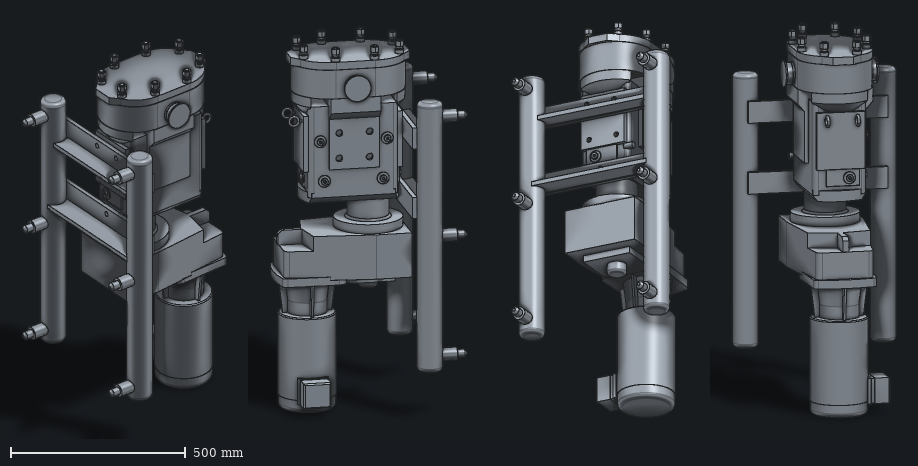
import cadquery as cq
import math

TOP_Z = 1088.0
COVER_TOP_Z = 1048.0
HEAD_TOP_Z = 1025.0
HEAD_BOTTOM_Z = 939.0
CASE_TOP_Z = 910.0
CASE_BOTTOM_Z = 621.0
GEAR_FLANGE_TOP_Z = 556.0
GEAR_TOP_Z = 529.0
GEAR_BOTTOM_Z = 397.0
ADAPTER_BOTTOM_Z = 382.0
MOTOR_TOP_Z = 283.0

PUMP_Y = 59.0
MOTOR_Y = 178.0

RAIL_DIAMETER = 75.0
RAIL_X = 202.0
RAIL_Y = -137.0
RAIL_BOTTOM_Z = 143.0
RAIL_LENGTH = 801.0
RAIL_END_FILLET = 13.0
FOOT_SPACING = 355.0
FOOT_SLEEVE_DIAMETER = 38.0
FOOT_SLEEVE_END_Y = -215.0
FOOT_PIN_DIAMETER = 24.0
FOOT_TIP_Y = -246.0
FOOT_TIP_CHAMFER = 8.0

BAR_HEIGHT = 63.0
BAR_HALF_LENGTH = 205.0
WEB_THICKNESS = 14.0
FLANGE_THICKNESS = 13.0
FLANGE_GAP = 7.0
UPPER_BAR_Z = 803.0
LOWER_BAR_Z = 596.0
UPPER_FLANGE_FRONT_Y = -159.0
LOWER_FLANGE_FRONT_Y = -171.0

HEAD_RADIUS = 108.2
HEAD_ARC_OFFSET = 58.0
COVER_RADIUS = 110.0
COVER_TIP_Y = 174.6
COVER_TIP_HALF_X = 30.0
COVER_TIP_ROOT = (65.0, 145.0)
STUD_SPOTS = [(48.0, 140.0), (95.2, 57.1)]
STUD_WASHER_DIAMETER = 25.0
STUD_NECK_DIAMETER = 14.0
STUD_COLLAR_DIAMETER = 20.0
STUD_HEX_DIAMETER = 25.0
STUD_WASHER_TOP_Z = 1059.0
STUD_COLLAR_Z = 1062.0
STUD_HEX_Z = 1068.0
STUD_HEX_TOP_Z = 1085.0

PORT_Z = 973.0
PORT_HALF_LENGTH = 136.0
PORT_TUBE_DIAMETER = 63.0
PORT_COLLAR_DIAMETER = 66.0
PORT_COLLAR_X = 114.0
PORT_FLANGE_DIAMETER = 77.0
PORT_FLANGE_THICKNESS = 4.0

BOSS_INNER = 126.0
BOSS_RADIUS = 107.0
BOSS_CONE_RADIUS = 79.0
BOSS_CONE_Z = 878.0

CASE_HALF_X = 78.0
CASE_HALF_Y = 132.0
CASE_EDGE_FILLET = 15.0
CASE_FLOOR_Z = 639.0
CASE_BOTTOM_HALF_X = 65.0
BOTTOM_PLATE_TOP_Z = 653.0
PAD_FACE = 145.2
END_PAD_HALF_X = 70.2
END_PAD_BOTTOM_Z = 715.0
END_PAD_TOP_Z = 881.0
SMALL_PAD_FACE = 138.0
SMALL_PAD_X = (-57.0, 41.0)
SMALL_PAD_BOTTOM_Z = 665.0
BRACKET_HALF_X = 110.0
BRACKET_WIDTH = 146.0
BRACKET_KNEE_Z = 895.0
SIDE_PAD_X = 90.0
SIDE_PAD_TOP_Z = 874.0
SIDE_PAD_BOTTOM_Z = 723.0
SIDE_HOLE_OFFSET = 45.0
SIDE_HOLE_LEVELS = (831.0, 756.0)
PAD_HOLE_X = 44.1
PAD_HOLE_LEVELS = (846.0, 742.0)
PAD_HOLE_DIAMETER = 14.0
SIDE_HOLE_DIAMETER = 20.0
PAD_HOLE_DEPTH = 11.0
UPPER_PLUG_SPOT = (98.0, 806.0)
LOWER_PLUG_SPOT = (86.0, 688.0)
END_PLUG_SPOT = (-26.0, 689.0)
KNOB_DIAMETER = 20.0
KNOB_X = (62.0, 90.0)
KNOB_Y_OFFSET = 126.0
KNOB_Z = 707.0
EYE_X = 45.0
EYE_RING_RADIUS = 13.6
EYE_WIRE_RADIUS = 3.8
EYE_Y = 226.0
EYE_Z = 861.0

NECK_DIAMETER = 121.0
GEAR_FLANGE_DIAMETER = 200.0
NECK_FILLET = 7.0
GEAR_HALF_X = 113.0
GEAR_FRONT_Y = -104.0
GEAR_SHOULDER_Y = 180.0
GEAR_SHOULDER_TIP_Y = 197.0
GEAR_BACK_Y = 262.0
GEAR_BACK_HALF_X = 83.0
GEAR_BACK_FILLET = 16.0
GEAR_LEDGE_Z = 485.0
RIDGE_WIDTH = 17.0
RIDGE_BACK_Y = 265.0
RIDGE_CHAMFER = 11.0
ADAPTER_HALF_X = 100.0
ADAPTER_FRONT_Y = 79.0
ADAPTER_BACK_Y = 279.0
ADAPTER_SIDE_Y = 265.0
ADAPTER_BACK_HALF_X = 92.0
ADAPTER_TOP_Z = 407.0
ADAPTER_FILLET = 15.0
ADAPTER_FRONT_FILLET = 24.0
COVER_PLATE_HALF_X = 75.0
COVER_PLATE_FRONT_Y = -63.0
COVER_PLATE_BACK_Y = 76.0
COVER_PLATE_FILLET = 25.0
COVER_PLATE_BOTTOM_Z = 378.0
CAP_DIAMETER = 55.0
CAP_BOTTOM_Z = 346.0
CAP_FILLET = 9.0

LANTERN_TOP_RADIUS = 65.8
LANTERN_RADIUS = 58.0
LANTERN_KNEE_Z = 321.0
RIB_TOP_RADIUS = 84.0
RIB_BOTTOM_RADIUS = 72.0
RIB_THICKNESS = 7.0
MOTOR_DIAMETER = 168.0
MOTOR_TOP_CHAMFER = 3.0
MOTOR_BOTTOM_FILLET = 13.0
FAN_COVER_Z = 38.0
FAN_COVER_STEP = 1.0
BOX_END_X = -143.0
BOX_LID_X = -96.0
BOX_BASE_X = -85.0
BOX_BASE_END_X = -75.0
BOX_JOINT_STEP = 1.0
BOX_WIDTH = 80.0
BOX_BASE_WIDTH = 89.0
BOX_BOTTOM_Z = 30.0
BOX_TOP_Z = 105.0
BOX_CHAMFER = 4.0


def block(x_range, y_range, z_range):
    """Box between the given limits."""
    size = [high - low for low, high in (x_range, y_range, z_range)]
    return cq.Workplane("XY").box(*size, centered=False).translate((x_range[0], y_range[0], z_range[0]))


def post(diameter, x, y, z_low, z_high):
    """Upright cylinder."""
    return cq.Workplane("XY", origin=(x, y, z_low)).circle(diameter / 2).extrude(z_high - z_low)


def rod(diameter, start, direction, length):
    """Cylinder from a point along a direction."""
    return cq.Workplane(cq.Solid.makeCylinder(diameter / 2, length, cq.Vector(*start), cq.Vector(*direction)))


def stadium(radius, arc_offset, z_low, z_high):
    """Plate with two round ends around the middle of the pump."""
    return (
        cq.Workplane("XY", origin=(0, PUMP_Y, z_low))
        .slot2D(2 * (radius + arc_offset), 2 * radius, 90)
        .extrude(z_high - z_low)
    )


WEB_BACK_Y = PUMP_Y - PAD_FACE
WEB_FRONT_Y = WEB_BACK_Y - WEB_THICKNESS
RAIL_MIDDLE_Z = RAIL_BOTTOM_Z + RAIL_LENGTH / 2


def rail(x):
    tube = post(RAIL_DIAMETER, x, RAIL_Y, RAIL_BOTTOM_Z, RAIL_BOTTOM_Z + RAIL_LENGTH)
    return tube.edges("%CIRCLE").fillet(RAIL_END_FILLET)


def foot(x, z):
    sleeve = rod(FOOT_SLEEVE_DIAMETER, (x, RAIL_Y, z), (0, -1, 0), RAIL_Y - FOOT_SLEEVE_END_Y)
    pin = rod(FOOT_PIN_DIAMETER, (x, RAIL_Y, z), (0, -1, 0), RAIL_Y - FOOT_TIP_Y)
    return sleeve.union(pin.faces("<Y").chamfer(FOOT_TIP_CHAMFER))


def crossbar(z, flange_front_y):
    """Upright web behind the rails and a flange that runs between and around them."""
    bar_x = (-BAR_HALF_LENGTH, BAR_HALF_LENGTH)
    flange_x = (-RAIL_X, RAIL_X)
    web = block(bar_x, (WEB_FRONT_Y, WEB_BACK_Y), (z, z + BAR_HEIGHT))
    flange = block(flange_x, (flange_front_y, WEB_FRONT_Y - FLANGE_GAP), (z, z + FLANGE_THICKNESS))
    reach = math.sqrt((RAIL_DIAMETER / 2) ** 2 - (RAIL_Y - flange_front_y) ** 2)
    trim = block(
        (reach - RAIL_X, RAIL_X - reach),
        (flange_front_y, WEB_BACK_Y),
        (z, z + FLANGE_THICKNESS),
    )
    return web.union(flange.intersect(trim))


def build_frame():
    body = rail(-RAIL_X).union(rail(RAIL_X))
    body = body.union(crossbar(UPPER_BAR_Z, UPPER_FLANGE_FRONT_Y))
    body = body.union(crossbar(LOWER_BAR_Z, LOWER_FLANGE_FRONT_Y))
    for x in (-RAIL_X, RAIL_X):
        for step in (-1, 0, 1):
            body = body.union(foot(x, RAIL_MIDDLE_Z + step * FOOT_SPACING))
    bolt_holes = [(-PAD_HOLE_X, PAD_HOLE_LEVELS[0]), (PAD_HOLE_X, PAD_HOLE_LEVELS[0])]
    bolt_holes.append((0, LOWER_BAR_Z + 44))
    for x, z in bolt_holes:
        body = body.cut(rod(PAD_HOLE_DIAMETER, (x, WEB_FRONT_Y, z), (0, 1, 0), WEB_THICKNESS))
    return body


def stud(x, y):
    """Washer, neck, collar and hexagon nut of one cover stud."""
    body = post(STUD_WASHER_DIAMETER, x, y, COVER_TOP_Z, STUD_WASHER_TOP_Z)
    body = body.union(post(STUD_NECK_DIAMETER, x, y, COVER_TOP_Z, TOP_Z))
    body = body.union(post(STUD_COLLAR_DIAMETER, x, y, STUD_COLLAR_Z, STUD_HEX_Z))
    nut = (
        cq.Workplane("XY", origin=(x, y, STUD_HEX_Z))
        .polygon(6, STUD_HEX_DIAMETER)
        .extrude(STUD_HEX_TOP_Z - STUD_HEX_Z)
    )
    return body.union(nut)


def ports():
    """Inlet and outlet pipe ends on both sides of the head."""
    centre = (0, PUMP_Y, PORT_Z)
    body = None
    for side in (-1, 1):
        direction = (side, 0, 0)
        flange_start = (side * (PORT_HALF_LENGTH - PORT_FLANGE_THICKNESS), PUMP_Y, PORT_Z)
        tube = rod(PORT_TUBE_DIAMETER, centre, direction, PORT_HALF_LENGTH)
        tube = tube.union(rod(PORT_COLLAR_DIAMETER, centre, direction, PORT_COLLAR_X))
        tube = tube.union(rod(PORT_FLANGE_DIAMETER, flange_start, direction, PORT_FLANGE_THICKNESS))
        body = tube if body is None else body.union(tube)
    return body


def bearing_boss(side):
    """Half-moon boss under one round end of the head, with a conical lower part."""
    axis_y = PUMP_Y + side * HEAD_ARC_OFFSET
    profile = [
        (0, HEAD_BOTTOM_Z),
        (BOSS_RADIUS, HEAD_BOTTOM_Z),
        (BOSS_RADIUS, CASE_TOP_Z),
        (BOSS_CONE_RADIUS, BOSS_CONE_Z),
        (0, BOSS_CONE_Z),
    ]
    turned = cq.Workplane("XZ").polyline(profile).close().revolve(360, (0, 0), (0, 1))
    turned = turned.translate((0, axis_y, 0))
    y_limits = sorted((PUMP_Y + side * BOSS_INNER, axis_y + side * BOSS_RADIUS))
    keep = block((-BOSS_RADIUS, BOSS_RADIUS), y_limits, (BOSS_CONE_Z, HEAD_BOTTOM_Z))
    return turned.intersect(keep)


def cover():
    """Cover plate with round ends that are drawn out to short flats."""
    root_x, root_y = COVER_TIP_ROOT
    tips = [
        (-COVER_TIP_HALF_X, COVER_TIP_Y),
        (COVER_TIP_HALF_X, COVER_TIP_Y),
        (root_x, root_y),
        (root_x, -root_y),
        (COVER_TIP_HALF_X, -COVER_TIP_Y),
        (-COVER_TIP_HALF_X, -COVER_TIP_Y),
        (-root_x, -root_y),
        (-root_x, root_y),
    ]
    floor = cq.Workplane("XY", origin=(0, PUMP_Y, HEAD_TOP_Z))
    ends = floor.polyline(tips).close().extrude(COVER_TOP_Z - HEAD_TOP_Z)
    return stadium(COVER_RADIUS, HEAD_ARC_OFFSET, HEAD_TOP_Z, COVER_TOP_Z).union(ends)


def pump_head():
    body = stadium(HEAD_RADIUS, HEAD_ARC_OFFSET, HEAD_BOTTOM_Z, HEAD_TOP_Z)
    body = body.union(cover())
    body = body.union(ports())
    for x, y in STUD_SPOTS:
        for x_side in (-1, 1):
            for y_side in (-1, 1):
                body = body.union(stud(x_side * x, PUMP_Y + y_side * y))
    for side in (-1, 1):
        body = body.union(bearing_boss(side))
    return body


def side_brackets():
    """Shoulder block that carries the head, with slanted undersides."""
    outline = [
        (-BRACKET_HALF_X, HEAD_BOTTOM_Z),
        (BRACKET_HALF_X, HEAD_BOTTOM_Z),
        (BRACKET_HALF_X, BRACKET_KNEE_Z),
        (SIDE_PAD_X, SIDE_PAD_TOP_Z),
        (-SIDE_PAD_X, SIDE_PAD_TOP_Z),
        (-BRACKET_HALF_X, BRACKET_KNEE_Z),
    ]
    start = PUMP_Y + BRACKET_WIDTH / 2
    return cq.Workplane("XZ", origin=(0, start, 0)).polyline(outline).close().extrude(BRACKET_WIDTH)


def plug(point, direction):
    """Screw plug: washer and head with a small socket."""
    washer_diameter = 35.0
    washer_height = 3.0
    head_diameter = 20.0
    head_height = 10.0
    socket_diameter = 7.8
    body = rod(washer_diameter, point, direction, washer_height)
    body = body.union(rod(head_diameter, point, direction, head_height))
    socket_start = [p + d * washer_height for p, d in zip(point, direction)]
    return body.cut(rod(socket_diameter, socket_start, direction, head_height))


def eyebolt(x):
    """Lifting ring on a short shank at the back of the case."""
    ring = cq.Workplane(
        cq.Solid.makeTorus(EYE_RING_RADIUS, EYE_WIRE_RADIUS, cq.Vector(x, EYE_Y, EYE_Z), cq.Vector(1, 0, 0))
    )
    shank_start = PUMP_Y + CASE_HALF_Y
    shank_length = EYE_Y - EYE_RING_RADIUS - shank_start
    return ring.union(rod(2 * EYE_WIRE_RADIUS, (x, shank_start, EYE_Z), (0, 1, 0), shank_length))


def end_pads():
    """Main and small pad on the front and back of the case."""
    main_pad = block(
        (-END_PAD_HALF_X, END_PAD_HALF_X),
        (PUMP_Y - PAD_FACE, PUMP_Y + PAD_FACE),
        (END_PAD_BOTTOM_Z, END_PAD_TOP_Z),
    )
    small_pad = block(
        SMALL_PAD_X,
        (PUMP_Y - SMALL_PAD_FACE, PUMP_Y + SMALL_PAD_FACE),
        (SMALL_PAD_BOTTOM_Z, END_PAD_BOTTOM_Z),
    )
    return main_pad.union(small_pad)


def bottom_plate():
    """Plate under the case: round front and back edge, slanted sides below the case."""
    disc = post(2 * PAD_FACE, 0, PUMP_Y, CASE_BOTTOM_Z, BOTTOM_PLATE_TOP_Z)
    section = [
        (-CASE_HALF_X, BOTTOM_PLATE_TOP_Z),
        (CASE_HALF_X, BOTTOM_PLATE_TOP_Z),
        (CASE_HALF_X, CASE_FLOOR_Z),
        (CASE_BOTTOM_HALF_X, CASE_BOTTOM_Z),
        (-CASE_BOTTOM_HALF_X, CASE_BOTTOM_Z),
        (-CASE_HALF_X, CASE_FLOOR_Z),
    ]
    start = PUMP_Y + PAD_FACE
    strip = cq.Workplane("XZ", origin=(0, start, 0)).polyline(section).close().extrude(2 * PAD_FACE)
    return disc.intersect(strip)


def pump_case():
    y_case = (PUMP_Y - CASE_HALF_Y, PUMP_Y + CASE_HALF_Y)
    y_side_pad = (PUMP_Y - BRACKET_WIDTH / 2, PUMP_Y + BRACKET_WIDTH / 2)
    x_case = (-CASE_HALF_X, CASE_HALF_X)

    body = block(x_case, y_case, (CASE_FLOOR_Z, CASE_TOP_Z)).edges("|Z").fillet(CASE_EDGE_FILLET)
    body = body.union(bottom_plate())
    body = body.union(block((-SIDE_PAD_X, SIDE_PAD_X), y_side_pad, (SIDE_PAD_BOTTOM_Z, SIDE_PAD_TOP_Z)))
    body = body.union(side_brackets()).union(end_pads())
    body = body.union(eyebolt(-EYE_X)).union(eyebolt(EYE_X))

    knob_start = (KNOB_X[0], PUMP_Y - KNOB_Y_OFFSET, KNOB_Z)
    body = body.union(rod(KNOB_DIAMETER, knob_start, (1, 0, 0), KNOB_X[1] - KNOB_X[0]))

    for side in (-1, 1):
        for offset, z in (UPPER_PLUG_SPOT, LOWER_PLUG_SPOT):
            body = body.union(plug((-CASE_HALF_X, PUMP_Y + side * offset, z), (-1, 0, 0)))
        x, z = END_PLUG_SPOT
        body = body.union(plug((x, PUMP_Y + side * SMALL_PAD_FACE, z), (0, side, 0)))
        for z in SIDE_HOLE_LEVELS:
            start = (-SIDE_PAD_X, PUMP_Y + side * SIDE_HOLE_OFFSET, z)
            body = body.cut(rod(SIDE_HOLE_DIAMETER, start, (1, 0, 0), PAD_HOLE_DEPTH))
        for z in PAD_HOLE_LEVELS:
            start = (side * PAD_HOLE_X, PUMP_Y - PAD_FACE, z)
            body = body.cut(rod(PAD_HOLE_DIAMETER, start, (0, 1, 0), PAD_HOLE_DEPTH))
    return body


def neck():
    """Shaft lantern between pump case and reducer, with its round flange."""
    flange = post(GEAR_FLANGE_DIAMETER, 0, 0, GEAR_TOP_Z, GEAR_FLANGE_TOP_Z)
    tube = post(NECK_DIAMETER, 0, 0, GEAR_FLANGE_TOP_Z, CASE_BOTTOM_Z)
    root = cq.selectors.BoxSelector(
        (-NECK_DIAMETER, -NECK_DIAMETER, GEAR_FLANGE_TOP_Z - NECK_FILLET),
        (NECK_DIAMETER, NECK_DIAMETER, GEAR_FLANGE_TOP_Z + NECK_FILLET),
    )
    joined = flange.union(tube)
    return joined.edges(root).edges(cq.selectors.RadiusNthSelector(0)).chamfer(NECK_FILLET)


def gear_housing():
    """Tapering housing, lower behind its shoulder, with a rib on the ledge."""
    taper = (GEAR_HALF_X - GEAR_BACK_HALF_X) / GEAR_BACK_Y
    shoulder_half_x = GEAR_HALF_X - taper * GEAR_SHOULDER_Y
    outline = [
        (-GEAR_HALF_X, GEAR_FRONT_Y),
        (GEAR_HALF_X, GEAR_FRONT_Y),
        (GEAR_HALF_X, 0),
        (shoulder_half_x, GEAR_SHOULDER_Y),
        (0, GEAR_SHOULDER_TIP_Y),
        (-shoulder_half_x, GEAR_SHOULDER_Y),
        (-GEAR_HALF_X, 0),
    ]
    tail = [
        (-shoulder_half_x, GEAR_SHOULDER_Y),
        (shoulder_half_x, GEAR_SHOULDER_Y),
        (GEAR_BACK_HALF_X, GEAR_BACK_Y),
        (-GEAR_BACK_HALF_X, GEAR_BACK_Y),
    ]
    floor = cq.Workplane("XY", origin=(0, 0, GEAR_BOTTOM_Z))
    body = floor.polyline(outline).close().extrude(GEAR_TOP_Z - GEAR_BOTTOM_Z)
    ledge = floor.polyline(tail).close().extrude(GEAR_LEDGE_Z - GEAR_BOTTOM_Z)
    ledge = ledge.edges("|Z and >Y").fillet(GEAR_BACK_FILLET)
    rib = block(
        (-RIDGE_WIDTH / 2, RIDGE_WIDTH / 2),
        (GEAR_SHOULDER_Y, RIDGE_BACK_Y),
        (GEAR_LEDGE_Z, GEAR_TOP_Z),
    )
    rib = rib.edges(">Y and >Z").chamfer(RIDGE_CHAMFER)
    return body.union(ledge).union(rib)


def motor_adapter():
    """Plate between reducer and motor, with a bowed back edge."""
    plate = (
        cq.Workplane("XY", origin=(0, 0, ADAPTER_BOTTOM_Z))
        .moveTo(-ADAPTER_HALF_X, ADAPTER_FRONT_Y)
        .lineTo(ADAPTER_HALF_X, ADAPTER_FRONT_Y)
        .lineTo(ADAPTER_BACK_HALF_X, ADAPTER_SIDE_Y)
        .threePointArc((0, ADAPTER_BACK_Y), (-ADAPTER_BACK_HALF_X, ADAPTER_SIDE_Y))
        .close()
        .extrude(ADAPTER_TOP_Z - ADAPTER_BOTTOM_Z)
    )
    corners = cq.selectors.BoxSelector(
        (-ADAPTER_HALF_X, ADAPTER_SIDE_Y - 11, ADAPTER_BOTTOM_Z),
        (ADAPTER_HALF_X, ADAPTER_SIDE_Y + 11, ADAPTER_TOP_Z),
    )
    plate = plate.edges("|Z").edges(corners).fillet(ADAPTER_FILLET)
    return plate.edges("|Z and <Y").fillet(ADAPTER_FRONT_FILLET)


def reducer():
    cover_plate = block(
        (-COVER_PLATE_HALF_X, COVER_PLATE_HALF_X),
        (COVER_PLATE_FRONT_Y, COVER_PLATE_BACK_Y),
        (COVER_PLATE_BOTTOM_Z, GEAR_BOTTOM_Z),
    )
    cover_plate = cover_plate.edges("|Z and >Y").fillet(COVER_PLATE_FILLET)
    cap = post(CAP_DIAMETER, 0, 0, CAP_BOTTOM_Z, COVER_PLATE_BOTTOM_Z).faces("<Z").edges().fillet(CAP_FILLET)
    return neck().union(gear_housing()).union(motor_adapter()).union(cover_plate).union(cap)


def lantern():
    """Conical coupling housing above the motor with four ribs."""
    core_profile = [
        (0, ADAPTER_BOTTOM_Z),
        (LANTERN_TOP_RADIUS, ADAPTER_BOTTOM_Z),
        (LANTERN_RADIUS, LANTERN_KNEE_Z),
        (LANTERN_RADIUS, MOTOR_TOP_Z),
        (0, MOTOR_TOP_Z),
    ]
    rib_outline = [
        (-RIB_TOP_RADIUS, ADAPTER_BOTTOM_Z),
        (RIB_TOP_RADIUS, ADAPTER_BOTTOM_Z),
        (RIB_BOTTOM_RADIUS, MOTOR_TOP_Z),
        (-RIB_BOTTOM_RADIUS, MOTOR_TOP_Z),
    ]
    core = cq.Workplane("XZ").polyline(core_profile).close().revolve(360, (0, 0), (0, 1))
    for plane in ("XZ", "YZ"):
        core = core.union(cq.Workplane(plane).polyline(rib_outline).close().extrude(RIB_THICKNESS / 2, both=True))
    return core.translate((0, MOTOR_Y, 0))


def terminal_box():
    """Lid with bevelled face, box body set slightly inwards, and base plate on the motor."""
    half_width = BOX_WIDTH / 2
    half_base = BOX_BASE_WIDTH / 2
    half_body = half_width - BOX_JOINT_STEP
    y_lid = (MOTOR_Y - half_width, MOTOR_Y + half_width)
    y_body = (MOTOR_Y - half_body, MOTOR_Y + half_body)
    y_base = (MOTOR_Y - half_base, MOTOR_Y + half_base)
    z_lid = (BOX_BOTTOM_Z, BOX_TOP_Z)
    z_body = (BOX_BOTTOM_Z + BOX_JOINT_STEP, BOX_TOP_Z - BOX_JOINT_STEP)
    lid = block((BOX_END_X, BOX_LID_X), y_lid, z_lid).faces("<X").chamfer(BOX_CHAMFER)
    body = block((BOX_LID_X, BOX_BASE_X), y_body, z_body)
    base = block((BOX_BASE_X, BOX_BASE_END_X), y_base, z_lid)
    root = block((BOX_BASE_END_X, 0), y_body, z_body).intersect(
        post(MOTOR_DIAMETER - 2 * FAN_COVER_STEP, 0, MOTOR_Y, *z_lid)
    )
    return lid.union(body).union(base).union(root)


def motor():
    shell = post(MOTOR_DIAMETER, 0, MOTOR_Y, FAN_COVER_Z, MOTOR_TOP_Z).faces(">Z").chamfer(MOTOR_TOP_CHAMFER)
    fan_cover = post(MOTOR_DIAMETER - 2 * FAN_COVER_STEP, 0, MOTOR_Y, 0, FAN_COVER_Z)
    fan_cover = fan_cover.faces("<Z").edges().fillet(MOTOR_BOTTOM_FILLET)
    return shell.union(fan_cover).union(lantern()).union(terminal_box())


frame = build_frame()
pump_unit = pump_head().union(pump_case()).union(reducer()).union(motor())

result = cq.Compound.makeCompound([frame.val(), pump_unit.val()])